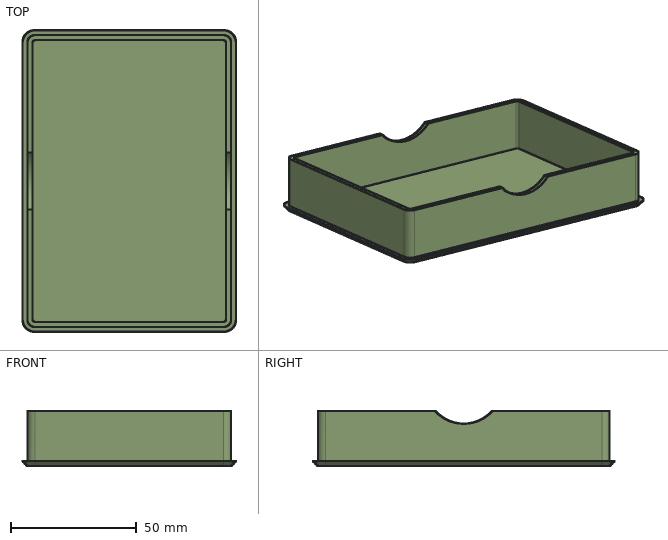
import cadquery as cq
import math

flange_length = 120.0
flange_width = 85.0
flange_thickness = 2.0

total_height = 22.0
wall_length = 116.0
flange_overhang = (flange_length - wall_length) / 2
wall_width = flange_width - 2 * flange_overhang
wall_corner_radius = 3.0
cavity_length = 112.0
wall_thickness = (wall_length - cavity_length) / 2
cavity_width = wall_width - 2 * wall_thickness
cavity_corner_radius = wall_corner_radius - wall_thickness
floor_thickness = flange_thickness

notch_width = 22.5
notch_depth = 5.0
notch_radius = (notch_width**2 / 4 + notch_depth**2) / (2 * notch_depth)


def rounded_outline(width, length, corner_radius):
    """Rectangle with rounded corners, centred on the Z axis."""
    return cq.Sketch().rect(width, length).vertices().fillet(corner_radius)


def flange():
    """Foot plate that flares from the line of the walls out to a sharp upper rim."""
    flare_angle = math.degrees(math.atan2(flange_overhang, flange_thickness))
    outline = rounded_outline(wall_width, wall_length, wall_corner_radius)
    return cq.Workplane("XY").placeSketch(outline).extrude(flange_thickness, taper=-flare_angle)


def outer_walls():
    """Solid body of the tray, from the underside to the rim."""
    outline = rounded_outline(wall_width, wall_length, wall_corner_radius)
    return cq.Workplane("XY").placeSketch(outline).extrude(total_height)


def cavity():
    """Space inside the walls, above the floor."""
    outline = rounded_outline(cavity_width, cavity_length, cavity_corner_radius)
    floor = cq.Workplane("XY").workplane(offset=floor_thickness)
    return floor.placeSketch(outline).extrude(total_height - floor_thickness)


def finger_notches():
    """Cylinder along X that dips into the rims of both long walls."""
    axis_height = total_height - notch_depth + notch_radius
    end_view = cq.Workplane("YZ").center(0, axis_height).circle(notch_radius)
    return end_view.extrude(flange_width / 2, both=True)


result = flange().union(outer_walls()).cut(cavity()).cut(finger_notches())